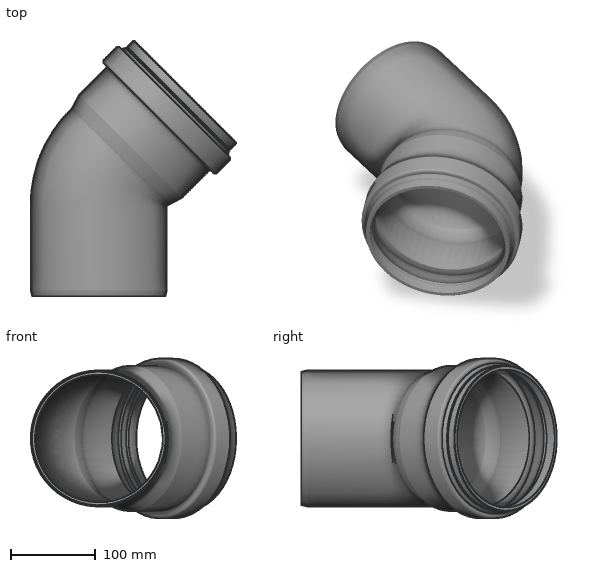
import cadquery as cq
import math

bend_angle = 45
pipe_radius = 160.5 / 2
bore_radius = 150.5 / 2
bend_radius = bore_radius

spigot_length = 108.0
lead_in_length = 7.0
lead_in_depth = 1.8

socket_radius = 171.3 / 2
socket_bore_radius = 161.0 / 2
ring_radius = 188.5 / 2
groove_radius = 179.5 / 2
seal_seat_radius = 170.0 / 2
mouth_radius = 162.2 / 2
flare_radius = 88.8
neck_radius = 85.0

collar_length = 4.0
taper_end = 21.5
bore_taper_end = 23.0
ring_start = 68.3
groove_start = 71.0
groove_end = 91.0
ring_end = 95.0
seal_seat_end = 99.3
lip_start = 101.5
socket_length = 112.5
ring_rounding = 3.0
root_fillet = 1.0
lip_chamfer = 0.5


def revolve_profile(profile):
    """Turn a (radius, station) outline about the Y axis."""
    return profile.close().revolve(360, (0, 0, 0), (0, 1, 0))


def place_on_bend(socket_part):
    """Move a part from the spigot end to the far end of the elbow."""
    pivot = (bend_radius, 0, 0)
    return socket_part.rotate(pivot, (bend_radius, 0, 1), -bend_angle)


def elbow(radius):
    """Sweep a round section about the pivot, keeping it on the outer side of the pivot line."""
    half_chord = math.sqrt(radius**2 - bend_radius**2)
    section = cq.Workplane("XZ")
    if half_chord > 0:
        section = (
            section.moveTo(bend_radius, -half_chord)
            .threePointArc((-radius, 0), (bend_radius, half_chord))
            .close()
        )
    else:
        section = section.circle(radius)
    return section.revolve(bend_angle, (bend_radius, 3, 0), (bend_radius, 0, 0))


def spigot_body():
    return revolve_profile(
        cq.Workplane("XY")
        .moveTo(0, -spigot_length)
        .lineTo(pipe_radius - lead_in_depth, -spigot_length)
        .lineTo(pipe_radius, -spigot_length + lead_in_length)
        .lineTo(pipe_radius, 0)
        .lineTo(0, 0)
    )


def spigot_bore():
    return cq.Workplane("XZ").circle(bore_radius).extrude(spigot_length)


def socket_body():
    corner = ring_rounding * (1 - math.sqrt(0.5))
    root_inset = root_fillet * (1 - math.sqrt(0.5))
    return revolve_profile(
        cq.Workplane("XY")
        .lineTo(pipe_radius, 0)
        .lineTo(pipe_radius, collar_length)
        .lineTo(socket_radius, taper_end)
        .lineTo(socket_radius, ring_start - root_fillet)
        .threePointArc(
            (socket_radius + root_inset, ring_start - root_inset),
            (socket_radius + root_fillet, ring_start),
        )
        .lineTo(ring_radius - ring_rounding, ring_start)
        .threePointArc(
            (ring_radius - corner, ring_start + corner),
            (ring_radius, ring_start + ring_rounding),
        )
        .lineTo(ring_radius, ring_end - ring_rounding)
        .threePointArc(
            (ring_radius - corner, ring_end - corner),
            (ring_radius - ring_rounding, ring_end),
        )
        .lineTo(flare_radius, ring_end)
        .lineTo(neck_radius, lip_start)
        .lineTo(socket_radius, lip_start)
        .lineTo(socket_radius, socket_length - lip_chamfer)
        .lineTo(socket_radius - lip_chamfer, socket_length)
        .lineTo(0, socket_length)
    )


def socket_bore():
    return revolve_profile(
        cq.Workplane("XY")
        .lineTo(bore_radius, 0)
        .lineTo(bore_radius, collar_length)
        .lineTo(socket_bore_radius, bore_taper_end)
        .lineTo(socket_bore_radius, groove_start)
        .lineTo(groove_radius, groove_start)
        .lineTo(groove_radius, groove_end)
        .lineTo(seal_seat_radius, groove_end)
        .lineTo(seal_seat_radius, seal_seat_end)
        .lineTo(mouth_radius, seal_seat_end)
        .lineTo(mouth_radius, socket_length)
        .lineTo(0, socket_length)
    )


outside = spigot_body().union(elbow(pipe_radius)).union(place_on_bend(socket_body()))
result = (
    outside.cut(spigot_bore())
    .cut(elbow(bore_radius))
    .cut(place_on_bend(socket_bore()))
)